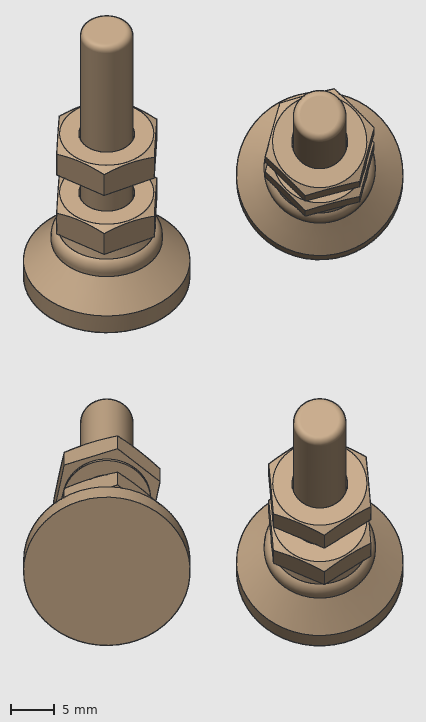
import cadquery as cq
import math

pad_radius = 9.5
rim_height = 2.6
collar_radius = 6.35
collar_bottom = 5.8
collar_top = 6.4
shoulder_round = 1.6
neck_bottom = 7.78
neck_top_radius = 5.05

stud_radius = 3.0
stud_top = 38.0
stud_tip_round = 0.8

nut_tops = (13.0, 22.1)
hex_across_flats = 11.15
hex_height = 3.7
hex_corner_angle = 25.0
hex_top_face_radius = 5.37
washer_face_radius = 5.0
washer_face_height = 0.4
bore_clearance = 0.17

nut_height = hex_height + washer_face_height
hex_corner_radius = hex_across_flats / 2 / math.cos(math.radians(30))
bore_radius = stud_radius + bore_clearance

neck_top = nut_tops[0] - hex_height
seat_floor = nut_tops[0] - nut_height


def revolve_about_z(profile):
    """Full turn about Z of a closed (radius, height) profile."""
    return profile.close().revolve(360, (0, 0, 0), (0, 1, 0))


def cylinder(radius, bottom, top):
    """Upright cylinder on the Z axis."""
    return cq.Workplane("XY").workplane(offset=bottom).circle(radius).extrude(top - bottom)


def make_pad():
    """Flared pad with a rounded shoulder and a tapered neck."""
    round_rise = neck_bottom - collar_top
    round_centre = collar_radius - shoulder_round
    round_angle = math.asin(round_rise / shoulder_round)
    neck_bottom_radius = round_centre + shoulder_round * math.cos(round_angle)
    round_middle = (
        round_centre + shoulder_round * math.cos(round_angle / 2),
        collar_top + shoulder_round * math.sin(round_angle / 2),
    )
    return revolve_about_z(
        cq.Workplane("XZ")
        .lineTo(pad_radius, 0)
        .lineTo(pad_radius, rim_height)
        .lineTo(collar_radius, collar_bottom)
        .lineTo(collar_radius, collar_top)
        .threePointArc(round_middle, (neck_bottom_radius, neck_bottom))
        .lineTo(neck_top_radius, neck_top)
        .lineTo(0, neck_top)
    )


def make_stud():
    """Round-tipped shank whose base flares out to fill the bore of the lower nut."""
    shank = cylinder(stud_radius, seat_floor, stud_top).faces(">Z").edges().fillet(stud_tip_round)
    flare = revolve_about_z(
        cq.Workplane("XZ")
        .moveTo(0, seat_floor)
        .lineTo(bore_radius, seat_floor)
        .lineTo(stud_radius, seat_floor + bore_clearance)
        .lineTo(0, seat_floor + bore_clearance)
    )
    return shank.union(flare)


def make_foot():
    """Pad and stud in one piece, with the nut seat sunk into the neck."""
    seat = cylinder(washer_face_radius, seat_floor, neck_top)
    return make_pad().cut(seat).union(make_stud())


def make_nut(top):
    """Hexagon nut with corners on the Y axis, its upper corners turned to a cone."""
    hex_bottom = top - hex_height
    washer_bottom = top - nut_height
    corner_drop = (hex_corner_radius - hex_top_face_radius) * math.tan(math.radians(hex_corner_angle))
    prism = (
        cq.Workplane("XY")
        .workplane(offset=hex_bottom)
        .polygon(6, 2 * hex_corner_radius)
        .extrude(hex_height)
        .rotate((0, 0, 0), (0, 0, 1), 30)
    )
    turned_envelope = revolve_about_z(
        cq.Workplane("XZ")
        .moveTo(0, hex_bottom)
        .lineTo(hex_corner_radius, hex_bottom)
        .lineTo(hex_corner_radius, top - corner_drop)
        .lineTo(hex_top_face_radius, top)
        .lineTo(0, top)
    )
    washer_face = cylinder(washer_face_radius, washer_bottom, hex_bottom)
    bore = cylinder(bore_radius, washer_bottom, top)
    return prism.intersect(turned_envelope).union(washer_face).cut(bore)


foot = make_foot()
nuts = [make_nut(top) for top in nut_tops]

result = cq.Compound.makeCompound([foot.val(), *[nut.val() for nut in nuts]])